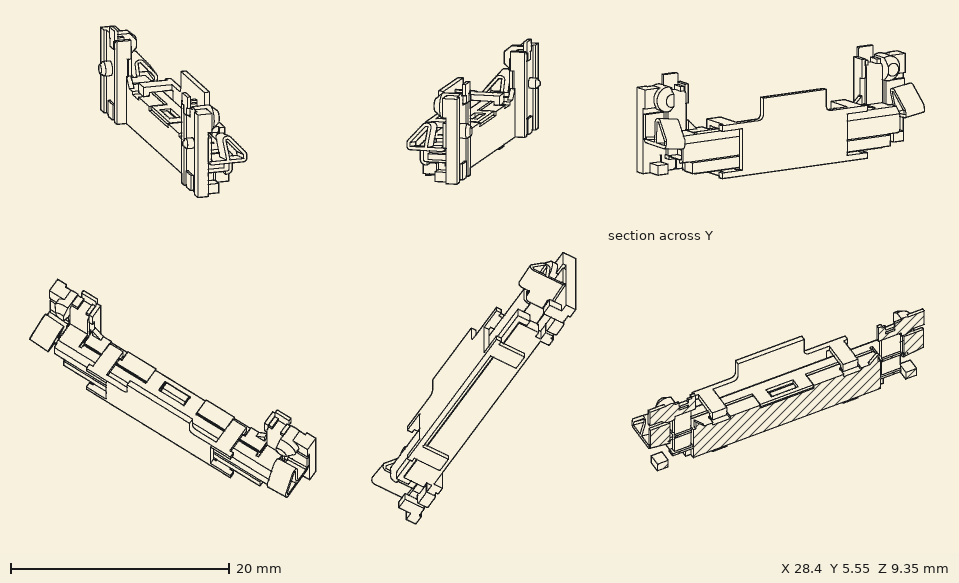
import cadquery as cq


STRAP_THICK = 0.55
BOTTOM = STRAP_THICK
BAR_TOP = 4.15
BAR_BACK = 2.75
BAR_HALF = 10.25
BAR_STEP_Z = 2.6
BAR_STEP = 0.57
LEDGE_HALF = 10.8
LEDGE_FRONT = 1.93
LEDGE_BACK = 3.21
LEDGE_BOTTOM = 0.7
GUSSET_LEG = 0.9

END_X = 14.22
BLOCK_TOP = 8.48
BLOCK_INNER = 9.47
RIB_INNER = 10.25
RIB_OUTER = 13.23
RIB_FRONT = -0.9
GROOVE_FRONT = -0.68
BLOCK_BACK = 0.1
HEAD_BACK = 0.45
HEAD_BOTTOM = 6.69
FOOT_OUTER = 13.43
FOOT_BACK = 1.4
FOOT_TOP = 1.45

BOSS_X = 12.1
BOSS_Z = 7.43
BOSS_R = 1.17
BOSS_TIP_R = 0.6
BOSS_CONE_Y = 1.0
BOSS_TIP_Y = 1.68
PIN_Z = 5.15
PIN_TIP_Y = -1.68
PIN_NOSE = 0.35
LEFT_PIN_R = 0.68
LEFT_PIN_TIP_R = 0.43
RIGHT_PIN_R = 0.48
RIGHT_PIN_TIP_R = 0.15

SHEET = 0.3
CAGE_HALF = 11.84
CAGE_TOP = 4.2
CAGE_BOTTOM = 1.74
CAGE_BACK = 3.21
CAGE_TOP_CHAMFER = 0.6
CAGE_BOTTOM_R = 0.5
CAGE_BOTTOM_FRONT = 0.15
CAGE_EDGE = 1.74
PAD_BACK = 1.55
PAD_HALF = 9.7
TONGUE_HALF = 2.75
TONGUE_FRONT = 0.17
TONGUE_NOTCH_Z = 3.78
TONGUE_NOTCH_BACK = 0.43
RELIEF_BACK = 2.08
RELIEF_INNER = 9.62
RAMP_FRONT = 0.85
RAMP_BACK = 2.55
RAMP_RISE = 0.28
RAMP_LENGTH = 2.0
EAR_INNER = 9.87
LEFT_EAR_OUTER = 11.58

STEM_INNER = RIB_INNER
STEM_OUTER = 11.18
STEM_BOTTOM = 7.55
STEM_SLOT_Z = 7.37
EAR_BACK = 0.65
EAR_SHEET = SHEET
EAR_BEND_R = 0.25
HEAD_INNER = EAR_INNER
HEAD_OUTER = 11.45
HEAD_Z = 8.28
EAR_TOP = 9.35
HEAD_CORNER = 0.15
LEFT_NOTCH_OUTER = 12.52
RIGHT_NOTCH_OUTER = 12.38
TAB_INNER = 10.67
TAB_OUTER = 12.2
TAB_TOP = 2.05
TAB_FRONT = -0.88
TAB_CORNER_R = 0.28
TAB_GAP = 0.1

PLATE_FRONT = 3.27
PLATE_BACK = 3.78
SHELL_HALF = 7.95
SHELL_TOP = 4.98
TOWER_HALF = 3.45
TOWER_TOP = 7.03
TOWER_R = 0.5
STRAP_INNER = 6.03
STRAP_OUTER = 7.55
STRAP_FRONT = 0.55
STRAP_TIP_Z = 4.07
PLATE_RELIEF = 5.75
POCKET_SIDE = 0.15
POCKET_BACK = 1.02
POCKET_FLOOR = 3.87

CLIP_OUTER = 14.17
CLIP_INNER = 12.12
CLIP_SHEET = SHEET
CLIP_BOTTOM = 3.53
CLIP_TILT = 8.0
CLIP_BACK = 3.87
CLIP_BACK_TOP = 4.32
CLIP_TOP = 6.05
CLIP_TOP_BACK = 2.3
CLIP_TOP_FRONT = 1.56
CLIP_LEG_FRONT = 1.95
CLIP_BEND_R = 0.37
CLIP_RISE = 0.55
CLIP_WALL_TOP = 6.15
CLIP_TONGUE_FRONT = 0.83

WINDOW_HALF = 1.4
FINGER_HALF = 1.25
WINDOW_FRONT = 0.6
WINDOW_BACK = 1.62
FINGER_BACK = 1.22
FINGER_DROP = 0.1
WINDOW_DEPTH = 0.4


def box(x0, x1, y0, y1, z0, z1):
    """Block between two limits along each axis."""
    return cq.Workplane("XY").box(x1 - x0, y1 - y0, z1 - z0, centered=False).translate((x0, y0, z0))


def side_profile(points, x0, x1):
    """Closed YZ outline extruded from x0 to x1."""
    return cq.Workplane("YZ").polyline(points).close().extrude(x1 - x0).translate((x0, 0, 0))


def front_profile(points, y0, y1):
    """Closed XZ outline extruded from y0 to y1."""
    return cq.Workplane("XZ").polyline(points).close().extrude(y0 - y1).translate((0, y0, 0))


def turned(points, x, z):
    """Round body with a (radius, y) half outline, turned about the line through x, z along Y."""
    return cq.Workplane("XY").polyline(points).close().revolve(360, (0, 0, 0), (0, 1, 0)).translate((x, 0, z))


def both_ends(body):
    """The body together with its mirror image at the other end."""
    return body.union(body.mirror("YZ"))


def make_bar():
    """Long housing bar with stepped ends, a rear ledge, strap pockets and corner gussets."""
    under_cage = CAGE_TOP - SHEET
    bar = box(-BAR_HALF, BAR_HALF, EAR_BACK, BAR_BACK, BOTTOM, under_cage)
    bar = bar.union(box(-PAD_HALF, PAD_HALF, 0, PAD_BACK, BOTTOM, BAR_TOP))
    bar = bar.union(box(-LEDGE_HALF, LEDGE_HALF, LEDGE_FRONT, LEDGE_BACK, LEDGE_BOTTOM, CAGE_BOTTOM))
    lower_half = BAR_HALF + BAR_STEP
    bar = bar.union(box(-lower_half, lower_half, EAR_BACK, BAR_BACK, CAGE_BOTTOM + SHEET, BAR_STEP_Z))
    bar = bar.cut(box(-TONGUE_HALF, TONGUE_HALF, 0, TONGUE_NOTCH_BACK, TONGUE_NOTCH_Z, BAR_TOP))
    gusset = front_profile(
        [(BLOCK_INNER, BAR_TOP), (BLOCK_INNER, BAR_TOP + GUSSET_LEG), (BLOCK_INNER - GUSSET_LEG, BAR_TOP)],
        0, HEAD_BACK)
    pocket = box(STRAP_INNER - POCKET_SIDE, STRAP_OUTER + POCKET_SIDE, 0, POCKET_BACK, POCKET_FLOOR, BAR_TOP)
    return bar.union(both_ends(gusset)).cut(both_ends(pocket))


def make_cage():
    """C-shaped sheet open to the front, with a centre tongue and wide tops below the ears."""
    outer = box(-CAGE_HALF, CAGE_HALF, CAGE_BOTTOM_FRONT, CAGE_BACK, CAGE_BOTTOM, CAGE_TOP)
    outer = outer.edges("|X and >Y and >Z").chamfer(CAGE_TOP_CHAMFER)
    outer = outer.edges("|X and >Y and <Z").fillet(CAGE_BOTTOM_R)
    inner = box(-CAGE_HALF, CAGE_HALF, CAGE_BOTTOM_FRONT, CAGE_BACK - SHEET,
                CAGE_BOTTOM + SHEET, CAGE_TOP - SHEET)
    inner = inner.edges("|X and >Y and >Z").chamfer(CAGE_TOP_CHAMFER - SHEET / 2)
    inner = inner.edges("|X and >Y and <Z").fillet(CAGE_BOTTOM_R - SHEET)
    cage = outer.cut(inner)

    sheet_z = CAGE_TOP - SHEET
    cage = cage.cut(box(-TONGUE_HALF, TONGUE_HALF, 0, TONGUE_FRONT, sheet_z, CAGE_TOP))
    opening = box(TONGUE_HALF, EAR_INNER, 0, CAGE_EDGE, sheet_z, CAGE_TOP)
    relief = box(RELIEF_INNER, EAR_INNER, 0, RELIEF_BACK, sheet_z, CAGE_TOP)
    left_corner = box(-CAGE_HALF, -LEFT_EAR_OUTER, 0, CAGE_EDGE, sheet_z, CAGE_TOP)
    ramp = front_profile(
        [(CAGE_HALF, CAGE_BOTTOM), (CAGE_HALF, CAGE_BOTTOM + RAMP_RISE),
         (CAGE_HALF - RAMP_LENGTH, CAGE_BOTTOM)],
        RAMP_FRONT, RAMP_BACK)
    return cage.cut(both_ends(opening.union(relief).union(ramp))).cut(left_corner)


def cut_window(body):
    """Window through the tongue with a latch finger that slopes down to the rear."""
    floor_z = CAGE_TOP - WINDOW_DEPTH
    finger_z = CAGE_TOP - FINGER_DROP
    window = box(-WINDOW_HALF, WINDOW_HALF, WINDOW_FRONT, WINDOW_BACK, floor_z, CAGE_TOP)
    finger = side_profile(
        [(WINDOW_FRONT, floor_z), (WINDOW_FRONT, finger_z), (FINGER_BACK, finger_z), (WINDOW_BACK, floor_z)],
        -FINGER_HALF, FINGER_HALF)
    return body.cut(window).union(finger)


def make_shell():
    """Rear plate with a raised centre, held to the bar by two straps above and two below."""
    plate = front_profile(
        [(-SHELL_HALF, 0), (SHELL_HALF, 0), (SHELL_HALF, SHELL_TOP), (TOWER_HALF, SHELL_TOP),
         (TOWER_HALF, TOWER_TOP), (-TOWER_HALF, TOWER_TOP), (-TOWER_HALF, SHELL_TOP),
         (-SHELL_HALF, SHELL_TOP)],
        PLATE_FRONT, PLATE_BACK)
    tower_foot = cq.selectors.BoxSelector(
        (-TOWER_HALF - TOWER_R, PLATE_FRONT, SHELL_TOP - TOWER_R),
        (TOWER_HALF + TOWER_R, PLATE_BACK, SHELL_TOP + TOWER_R))
    plate = plate.edges("|Y").edges(tower_foot).fillet(TOWER_R)
    plate = plate.cut(both_ends(box(PLATE_RELIEF, SHELL_HALF, PLATE_FRONT, PLATE_BACK,
                                    STRAP_THICK, SHELL_TOP - STRAP_THICK)))
    top_strap = side_profile(
        [(PLATE_FRONT, SHELL_TOP), (STRAP_FRONT, SHELL_TOP), (STRAP_FRONT, STRAP_TIP_Z),
         (STRAP_FRONT + STRAP_THICK, STRAP_TIP_Z), (STRAP_FRONT + STRAP_THICK, SHELL_TOP - STRAP_THICK),
         (PLATE_FRONT, SHELL_TOP - STRAP_THICK)],
        STRAP_INNER, STRAP_OUTER)
    bottom_strap = box(STRAP_INNER, STRAP_OUTER, STRAP_FRONT, PLATE_FRONT, 0, STRAP_THICK)
    return plate.union(both_ends(top_strap.union(bottom_strap)))


def make_clip():
    """Closed spring loop on a leaf, tilted so its outer end is high.

    A tongue runs inward to the bar and the leaf bends up into a wall on the block.
    """
    width = CLIP_OUTER - CLIP_INNER
    leaf_top = CLIP_BOTTOM + CLIP_SHEET
    corners = [(CLIP_LEG_FRONT, CLIP_BOTTOM), (CLIP_BACK, CLIP_BOTTOM), (CLIP_BACK, CLIP_BACK_TOP),
               (CLIP_TOP_BACK, CLIP_TOP), (CLIP_TOP_FRONT, CLIP_TOP)]
    outside = cq.Workplane("YZ").polyline(corners).close().extrude(width).edges("|X").edges(">Y or >Z")
    outside = outside.fillet(CLIP_BEND_R)
    inside = cq.Workplane("YZ").polyline(corners).close().offset2D(-CLIP_SHEET).extrude(width)
    loop = outside.cut(inside).translate((CLIP_INNER, 0, 0))

    wall_back = BLOCK_BACK + CLIP_SHEET
    bend_back = wall_back + CLIP_SHEET / 2
    leaf = side_profile(
        [(BLOCK_BACK, CLIP_BOTTOM + CLIP_RISE), (BLOCK_BACK, leaf_top), (wall_back, CLIP_BOTTOM),
         (CLIP_LEG_FRONT + CLIP_SHEET, CLIP_BOTTOM), (CLIP_LEG_FRONT + CLIP_SHEET, leaf_top),
         (bend_back, leaf_top), (wall_back, CLIP_BOTTOM + CLIP_RISE)],
        CLIP_INNER, CLIP_OUTER)
    tongue = box(BAR_HALF - CLIP_SHEET, CLIP_OUTER, CLIP_TONGUE_FRONT, BAR_BACK, CLIP_BOTTOM, leaf_top)
    clip = loop.union(leaf).union(tongue)
    clip = clip.rotate((CLIP_OUTER, 0, CLIP_BOTTOM), (CLIP_OUTER, 1, CLIP_BOTTOM), -CLIP_TILT)
    wall = box(CLIP_INNER, CLIP_OUTER, BLOCK_BACK, wall_back, leaf_top, CLIP_WALL_TOP)
    return clip.union(wall)


def make_flange(ear_outer):
    """Upright wall of the cage, rounded where it bends forward into the stem."""
    flange = box(EAR_INNER, ear_outer, EAR_BACK - EAR_SHEET, EAR_BACK, CAGE_BOTTOM, STEM_BOTTOM + EAR_SHEET)
    return flange.edges("|X and >Y and >Z").fillet(EAR_BEND_R)


def make_ear():
    """Stem reaching forward through the block and turning up into a wide head."""
    front = GROOVE_FRONT - EAR_SHEET
    stem = box(STEM_INNER, STEM_OUTER, front, EAR_BACK - EAR_SHEET, STEM_BOTTOM, STEM_BOTTOM + EAR_SHEET)
    neck = box(STEM_INNER, STEM_OUTER, front, GROOVE_FRONT, STEM_BOTTOM, HEAD_Z)
    head = box(HEAD_INNER, HEAD_OUTER, front, GROOVE_FRONT, HEAD_Z, EAR_TOP)
    head = head.edges("|Y and >Z and <X").fillet(HEAD_CORNER)
    return stem.union(neck).union(head)


def make_end(pin_r, pin_tip_r, ear_outer, notch_outer):
    """Ribbed end block with its boss, pin, tab, foot, ear and spring clip."""
    block = box(BLOCK_INNER, END_X, RIB_FRONT, BLOCK_BACK, BOTTOM, BLOCK_TOP)
    block = block.union(box(BLOCK_INNER, END_X, RIB_FRONT, HEAD_BACK, HEAD_BOTTOM, BLOCK_TOP))
    block = block.cut(box(RIB_INNER, RIB_OUTER, RIB_FRONT, GROOVE_FRONT, BOTTOM, BLOCK_TOP))
    block = block.cut(box(HEAD_INNER, notch_outer, RIB_FRONT, HEAD_BACK, HEAD_Z, BLOCK_TOP))
    block = block.cut(box(STEM_INNER, STEM_OUTER, RIB_FRONT, HEAD_BACK, STEM_SLOT_Z, BLOCK_TOP))
    block = block.cut(box(EAR_INNER, ear_outer, EAR_BACK - EAR_SHEET, HEAD_BACK, HEAD_BOTTOM, BLOCK_TOP))

    boss = turned([(0, GROOVE_FRONT), (BOSS_R, GROOVE_FRONT), (BOSS_R, BOSS_CONE_Y),
                   (BOSS_TIP_R, BOSS_TIP_Y), (0, BOSS_TIP_Y)], BOSS_X, BOSS_Z)
    boss = boss.intersect(box(ear_outer, END_X, GROOVE_FRONT, BOSS_TIP_Y, 0, EAR_TOP))
    pin = turned([(0, GROOVE_FRONT), (pin_r, GROOVE_FRONT), (pin_r, PIN_TIP_Y + PIN_NOSE),
                  (pin_tip_r, PIN_TIP_Y), (0, PIN_TIP_Y)], BOSS_X, PIN_Z)

    block = block.cut(box(TAB_INNER - TAB_GAP, TAB_OUTER + TAB_GAP, RIB_FRONT, BLOCK_BACK, BOTTOM, TAB_TOP))
    tab = box(TAB_INNER, TAB_OUTER, TAB_FRONT, BLOCK_BACK, BOTTOM, TAB_TOP)
    tab = tab.edges("|Y and <Z").fillet(TAB_CORNER_R)
    foot = box(TAB_OUTER + TAB_GAP, FOOT_OUTER, BLOCK_BACK, FOOT_BACK, BOTTOM, FOOT_TOP)

    for feature in (boss, pin, tab, foot, make_flange(ear_outer), make_ear(), make_clip()):
        block = block.union(feature)
    return block


result = cut_window(make_bar().union(make_cage())).union(make_shell())
result = result.union(make_end(RIGHT_PIN_R, RIGHT_PIN_TIP_R, CAGE_HALF, RIGHT_NOTCH_OUTER))
result = result.union(make_end(LEFT_PIN_R, LEFT_PIN_TIP_R, LEFT_EAR_OUTER, LEFT_NOTCH_OUTER).mirror("YZ"))